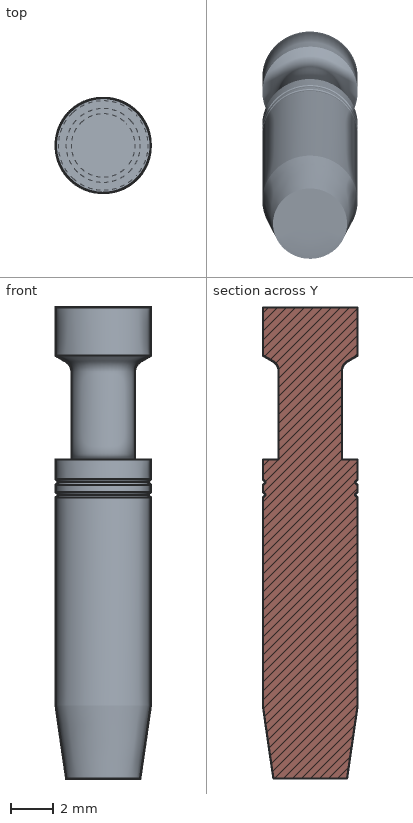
import cadquery as cq
import math

LENGTH = 22.3
BODY_RADIUS = 4.5 / 2
NECK_RADIUS = 3.0 / 2
TIP_RADIUS = 3.5 / 2

TAPER_HEIGHT = 3.45
HEAD_HEIGHT = 2.3
SHOULDER_DEPTH = 7.2

UNDERSIDE_ANGLE = 30.0
FILLET_RADIUS = 0.54

GROOVE_DEPTH = 0.13
GROOVE_WIDTH = 2 * GROOVE_DEPTH
GROOVE_PITCH = 0.6
GROOVE_COUNT = 2
FIRST_GROOVE_OFFSET = 1.07

shoulder_z = LENGTH - SHOULDER_DEPTH
head_bottom_z = LENGTH - HEAD_HEIGHT

fillet_sweep = math.radians(90 - UNDERSIDE_ANGLE)
fillet_center_radius = NECK_RADIUS + FILLET_RADIUS
cone_end_radius = fillet_center_radius - FILLET_RADIUS * math.cos(fillet_sweep)
cone_drop = (BODY_RADIUS - cone_end_radius) * math.tan(math.radians(UNDERSIDE_ANGLE))
cone_end_z = head_bottom_z - cone_drop
fillet_start_z = cone_end_z - FILLET_RADIUS * math.sin(fillet_sweep)


def revolve_profile(profile):
    """Turn a closed radius-height profile once around the Z axis."""
    return profile.close().revolve(360, (0, 0, 0), (0, 1, 0))


def make_pin():
    """Tapered body, narrow neck and a head with a filleted conical underside."""
    fillet_middle = (
        fillet_center_radius - FILLET_RADIUS * math.cos(fillet_sweep / 2),
        fillet_start_z + FILLET_RADIUS * math.sin(fillet_sweep / 2),
    )
    profile = (
        cq.Workplane("XZ")
        .lineTo(TIP_RADIUS, 0)
        .lineTo(BODY_RADIUS, TAPER_HEIGHT)
        .lineTo(BODY_RADIUS, shoulder_z)
        .lineTo(NECK_RADIUS, shoulder_z)
        .lineTo(NECK_RADIUS, fillet_start_z)
        .threePointArc(fillet_middle, (cone_end_radius, cone_end_z))
        .lineTo(BODY_RADIUS, head_bottom_z)
        .lineTo(BODY_RADIUS, LENGTH)
        .lineTo(0, LENGTH)
    )
    return revolve_profile(profile)


def make_groove(center_z):
    """Triangular ring whose point reaches into the body."""
    profile = (
        cq.Workplane("XZ")
        .moveTo(BODY_RADIUS, center_z - GROOVE_WIDTH / 2)
        .lineTo(BODY_RADIUS - GROOVE_DEPTH, center_z)
        .lineTo(BODY_RADIUS, center_z + GROOVE_WIDTH / 2)
    )
    return revolve_profile(profile)


result = make_pin()
for index in range(GROOVE_COUNT):
    groove_z = shoulder_z - FIRST_GROOVE_OFFSET - index * GROOVE_PITCH
    result = result.cut(make_groove(groove_z))